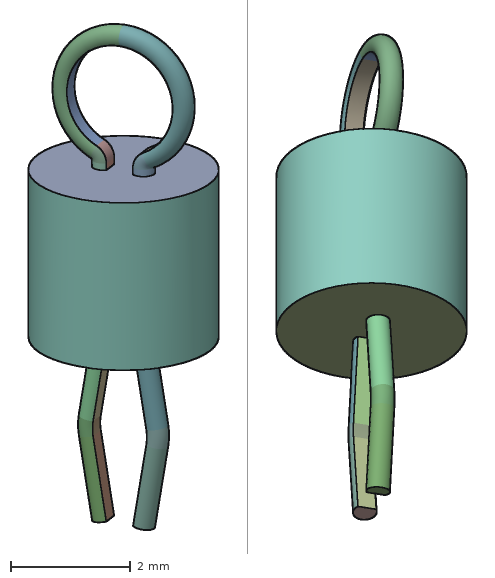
import cadquery as cq
import math

body_diameter = 3.2
body_height = 3.0
embed = 0.09

wire_diameter = 0.4
wire_radius = wire_diameter / 2
wire_thickness = 0.32
flat_offset = wire_thickness - wire_radius

total_height = 8.94
tip_drop = 3.35
ring_outer_radius = 1.3
ring_gap_angle = 26.0
bend_clearance = 0.0045

leg_slope = 9.3
leg_bend_outer_radius = 1.16
leg_bend_drop = 1.67
leg_outer_reach = 0.82


def wire_section(x, z, turn):
    """Wire section centred at (x, z); at zero turn it faces up with its flat towards -X.

    A positive turn, in degrees, tilts the upward direction towards -X.
    """
    angle = math.radians(turn)
    plane = cq.Plane(
        origin=(x, 0, z),
        xDir=(-math.cos(angle), 0, -math.sin(angle)),
        normal=(-math.sin(angle), 0, math.cos(angle)),
    )
    half_flat = math.sqrt(wire_radius**2 - flat_offset**2)
    return (
        cq.Workplane(plane)
        .moveTo(flat_offset, -half_flat)
        .threePointArc((-wire_radius, 0), (flat_offset, half_flat))
        .close()
    )


def make_ring_half():
    """Right half of the ring: stub, tight outward bend and the arc up to the top."""
    path_radius = ring_outer_radius - wire_radius
    bend_radius = wire_radius + bend_clearance
    center_z = total_height - tip_drop - ring_outer_radius
    gap = math.radians(ring_gap_angle)
    pivot_distance = path_radius + bend_radius
    stub_x = pivot_distance * math.sin(gap) - bend_radius
    bend_z = center_z - pivot_distance * math.cos(gap)
    arc_x = path_radius * math.sin(gap)
    arc_z = center_z - path_radius * math.cos(gap)
    bend_angle = 90 - ring_gap_angle

    stub_z = body_height - embed
    stub = wire_section(stub_x, stub_z, 0).extrude(bend_z - stub_z)
    bend = wire_section(stub_x, bend_z, 0).revolve(bend_angle, (-bend_radius, 0), (-bend_radius, -1))
    arc = wire_section(arc_x, arc_z, -bend_angle).revolve(
        180 - ring_gap_angle, (path_radius, 0), (path_radius, 1)
    )
    return [stub, bend, arc]


def make_leg():
    """Right leg: slopes outwards, bends and slopes back in to its tip."""
    path_radius = leg_bend_outer_radius - wire_radius
    slope = math.radians(leg_slope)
    bend_x = leg_outer_reach - leg_bend_outer_radius + path_radius * math.cos(slope)
    half_rise = path_radius * math.sin(slope)
    upper_z = -leg_bend_drop + half_rise
    lower_z = -leg_bend_drop - half_rise
    upper_length = (embed - upper_z) / math.cos(slope)
    lower_length = (lower_z + tip_drop - wire_radius * math.sin(slope)) / math.cos(slope)

    upper = wire_section(bend_x, upper_z, leg_slope).extrude(upper_length)
    bend = wire_section(bend_x, lower_z, -leg_slope).revolve(
        2 * leg_slope, (path_radius, 0), (path_radius, 1)
    )
    lower = wire_section(bend_x, lower_z, -leg_slope).extrude(-lower_length)
    return [upper, bend, lower]


result = cq.Workplane("XY").circle(body_diameter / 2).extrude(body_height)
for piece in make_ring_half() + make_leg():
    result = result.union(piece, clean=False).union(piece.mirror("YZ"), clean=False)